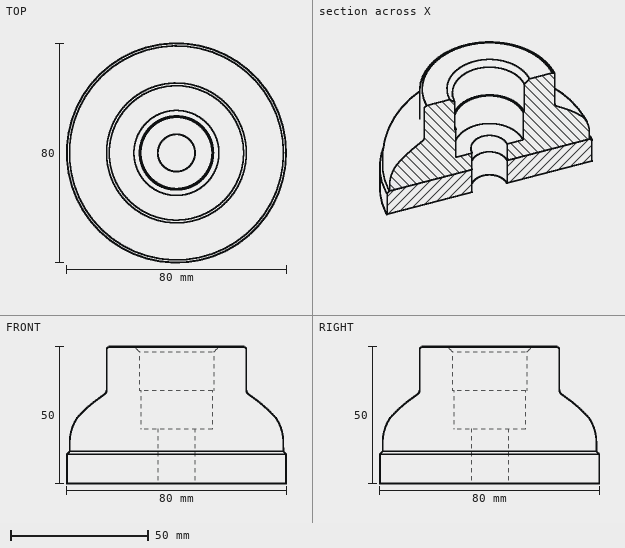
import cadquery as cq
import math

total_height = 50.0
hole_radius = 13.5 / 2

pad_radius = 80.01 / 2
pad_height = 11.7
pad_shoulder_drop = 1.0

skirt_bottom_radius = 78.03 / 2
skirt_radius = 78.0 / 2
skirt_flare_top = 14.0
bell_start = 15.0
bell_shoulder_radius = 36.3
bell_shoulder_height = 23.9
dome_bulge = 0.4
neck_radius = 51.0 / 2
neck_base = 34.1
neck_fillet_width = 1.0
neck_fillet_height = 1.7
rim_radius = 49.0 / 2
rim_step = 0.25
rim_rounding = 0.9

bore_radius = 27.01 / 2
bore_chamfer = 2.0
lower_bore_radius = 13.0
bore_ledge_height = 34.0
bore_floor_height = 20.0


def middle_of_upright_arc(upright_end, other_end):
    """Middle point of the arc between two points that runs parallel to Z at upright_end."""
    across = other_end[0] - upright_end[0]
    along = other_end[1] - upright_end[1]
    radius = (across**2 + along**2) / (2 * abs(across))
    half_turn = math.atan2(abs(across), abs(along))
    return (
        upright_end[0] + math.copysign(radius * (1 - math.cos(half_turn)), across),
        upright_end[1] + math.copysign(radius * math.sin(half_turn), along),
    )


def revolve_about_z(outline):
    return outline.close().revolve(360, (0, 0, 0), (0, 1, 0))


def make_pad():
    outline = (
        cq.Workplane("XZ")
        .moveTo(hole_radius, 0)
        .lineTo(pad_radius, 0)
        .lineTo(pad_radius, pad_height - pad_shoulder_drop)
        .lineTo(skirt_bottom_radius, pad_height)
        .lineTo(hole_radius, pad_height)
    )
    return revolve_about_z(outline)


def make_housing():
    bell_bottom = (skirt_radius, bell_start)
    bell_shoulder = (bell_shoulder_radius, bell_shoulder_height)
    dome_top = (neck_radius + neck_fillet_width, neck_base - neck_fillet_height)
    neck_bottom = (neck_radius, neck_base)
    rim_bottom = total_height - rim_step
    rounding_top_radius = neck_radius - rim_rounding

    outline = (
        cq.Workplane("XZ")
        .moveTo(hole_radius, pad_height)
        .lineTo(skirt_bottom_radius, pad_height)
        .lineTo(skirt_radius, skirt_flare_top)
        .lineTo(*bell_bottom)
        .threePointArc(middle_of_upright_arc(bell_bottom, bell_shoulder), bell_shoulder)
        .sagittaArc(dome_top, -dome_bulge)
        .threePointArc(middle_of_upright_arc(neck_bottom, dome_top), neck_bottom)
        .lineTo(neck_radius, rim_bottom - rim_rounding)
        .radiusArc((rounding_top_radius, rim_bottom), -rim_rounding)
        .lineTo(rim_radius, rim_bottom)
        .lineTo(rim_radius, total_height)
        .lineTo(bore_radius + bore_chamfer, total_height)
        .lineTo(bore_radius, total_height - bore_chamfer)
        .lineTo(bore_radius, bore_ledge_height)
        .lineTo(lower_bore_radius, bore_ledge_height)
        .lineTo(lower_bore_radius, bore_floor_height)
        .lineTo(hole_radius, bore_floor_height)
    )
    return revolve_about_z(outline)


pad = make_pad()
housing = make_housing()

result = cq.Compound.makeCompound([pad.val(), housing.val()])